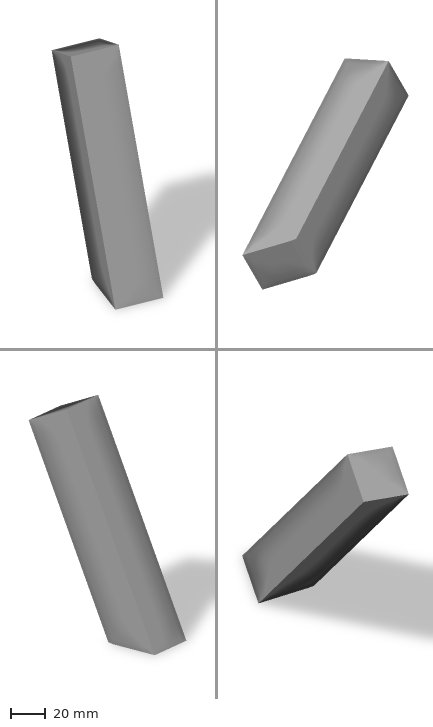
import cadquery as cq
import math

height = 136.0
section = 30.0
lean = math.radians(25)
heel_rise = 0.4
foot_length = 29.8

toe = (0, 0)
top_front = (-height * math.tan(lean), height)
top_back = (
    top_front[0] - section * math.cos(lean),
    height - section * math.sin(lean),
)
heel = (-section / math.cos(lean) - heel_rise * math.tan(lean), heel_rise)
foot_back = (-foot_length, 0)

result = (
    cq.Workplane("XZ")
    .polyline([toe, top_front, top_back, heel, foot_back])
    .close()
    .extrude(section / 2, both=True)
)